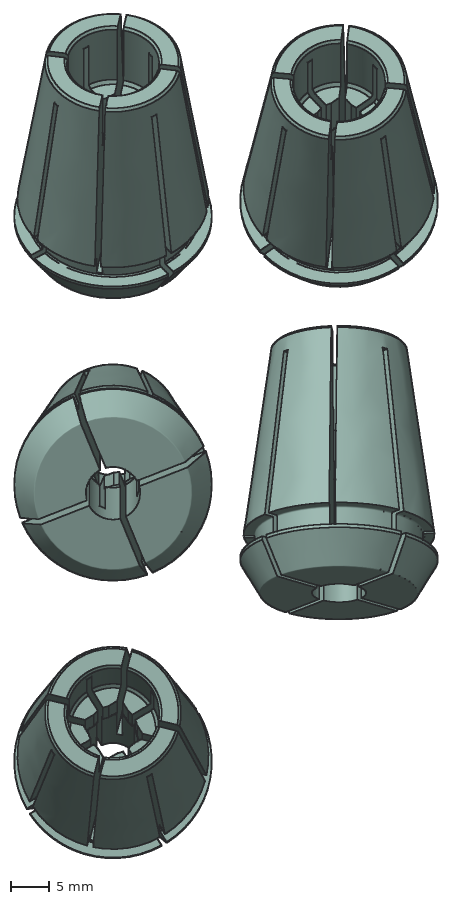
import cadquery as cq
import math

length = 34.0

flange_radius = 25.8 / 2
nose_half_angle = 30.0
nose_height = 4.5
flange_top = 4.95
nose_edge_fillet = 0.2
nose_bottom_radius = flange_radius - nose_height * math.tan(math.radians(nose_half_angle))

groove_radius = 11.0
groove_fillet = 0.2

cone_base = 8.1
cone_base_radius = 12.48
cone_half_angle = 8.0
rim_chamfer = 0.35
cone_top = length - rim_chamfer
cone_top_radius = cone_base_radius - (cone_top - cone_base) * math.tan(math.radians(cone_half_angle))

shank_radius = 3.55
drive_bottom = 17.0
drive_top = 23.8
drive_side = 6.0
drive_relief_radius = 3.2
bore_radius = 6.02
bore_floor_chamfer = 0.45

slot_width = 0.78
bottom_slot_top = 31.45
top_slot_floor = 5.47
slot_angles = (0, 90)
diagonal_offset = 45


def make_body():
    """Solid of revolution: nose, flange, groove and clamping cone."""
    fillet_start = groove_radius + groove_fillet
    sag = groove_fillet * (1 - math.sqrt(0.5))
    lower_mid = (groove_radius + sag, flange_top + sag)
    upper_mid = (groove_radius + sag, cone_base - sag)
    body = (
        cq.Workplane("XZ")
        .lineTo(nose_bottom_radius, 0)
        .lineTo(flange_radius, nose_height)
        .lineTo(flange_radius, flange_top)
        .lineTo(fillet_start, flange_top)
        .threePointArc(lower_mid, (groove_radius, flange_top + groove_fillet))
        .lineTo(groove_radius, cone_base - groove_fillet)
        .threePointArc(upper_mid, (fillet_start, cone_base))
        .lineTo(cone_base_radius, cone_base)
        .lineTo(cone_top_radius, cone_top)
        .lineTo(cone_top_radius - rim_chamfer, length)
        .lineTo(0, length)
        .close()
        .revolve(360, (0, 0, 0), (0, 1, 0))
    )
    return body.faces("<Z").edges().fillet(nose_edge_fillet)


def make_wide_bore():
    """Upper bore with a chamfered floor corner and a chamfered mouth."""
    return (
        cq.Workplane("XZ")
        .moveTo(0, drive_top)
        .lineTo(bore_radius - bore_floor_chamfer, drive_top)
        .lineTo(bore_radius, drive_top + bore_floor_chamfer)
        .lineTo(bore_radius, length - rim_chamfer)
        .lineTo(bore_radius + rim_chamfer, length)
        .lineTo(0, length)
        .close()
        .revolve(360, (0, 0, 0), (0, 1, 0))
    )


def make_drive_hole():
    """Square hole whose flats are relieved by a slightly larger round hole."""
    drive_height = drive_top - drive_bottom
    plane = cq.Workplane("XY").workplane(offset=drive_bottom)
    square = plane.rect(drive_side, drive_side).extrude(drive_height)
    relief = plane.circle(drive_relief_radius).extrude(drive_height)
    return square.union(relief)


def make_slot(bottom, top, angle):
    """Slot across the whole diameter between two heights, turned about Z."""
    return (
        cq.Workplane("XY")
        .workplane(offset=bottom)
        .rect(2 * flange_radius + slot_width, slot_width)
        .extrude(top - bottom)
        .rotate((0, 0, 0), (0, 0, 1), angle)
    )


shank_hole = cq.Workplane("XY").circle(shank_radius).extrude(drive_bottom)

result = make_body().cut(shank_hole).cut(make_drive_hole()).cut(make_wide_bore())

for slot_angle in slot_angles:
    result = result.cut(make_slot(0, bottom_slot_top, slot_angle))
    result = result.cut(make_slot(top_slot_floor, length, slot_angle + diagonal_offset))